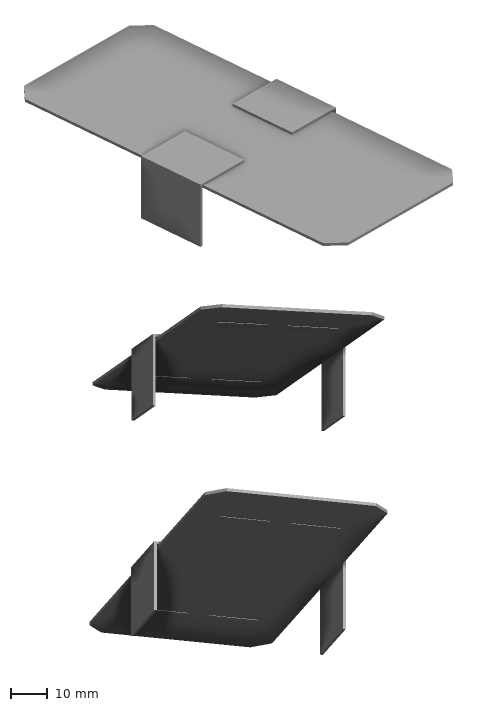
import cadquery as cq

plate_length = 120.0
plate_width = 52.0
plate_thickness = 0.9
corner_chamfer = 4.8

bar_width = 2.0
bar_length = 14.0
bar_projection = 0.1
bar_offset_x = 39.0
bar_gap = 6.0
bar_offset_y = (bar_gap + bar_length) / 2

clip_span = 54.5
clip_height = 19.9
clip_width = 22.0
clip_thickness = 0.75
flange_length = 17.6


def make_plate():
    """Return the chamfered plate with its four inset bars."""
    blank = (
        cq.Workplane("XY")
        .rect(plate_length, plate_width)
        .extrude(-plate_thickness)
        .edges("|Z")
        .chamfer(corner_chamfer)
    )
    bars = (
        cq.Workplane("XY")
        .rarray(2 * bar_offset_x, 2 * bar_offset_y, 2, 2)
        .rect(bar_width, bar_length)
        .extrude(-(plate_thickness + bar_projection))
    )
    return blank.cut(bars).union(bars, clean=False)


def make_clip(side):
    """Return one L-shaped clip; side is -1 for the -Y edge and 1 for the +Y edge."""
    outer_y = side * clip_span / 2
    wall_y = outer_y - side * clip_thickness
    flange_y = outer_y - side * flange_length
    top_z = clip_thickness
    bottom_z = top_z - clip_height
    profile = [
        (outer_y, bottom_z),
        (outer_y, top_z),
        (flange_y, top_z),
        (flange_y, 0),
        (wall_y, 0),
        (wall_y, bottom_z),
    ]
    return cq.Workplane("YZ").polyline(profile).close().extrude(clip_width / 2, both=True)


plate = make_plate().solids().val()
clips = [make_clip(side).solids().val() for side in (-1, 1)]

result = cq.Compound.makeCompound([plate, *clips])